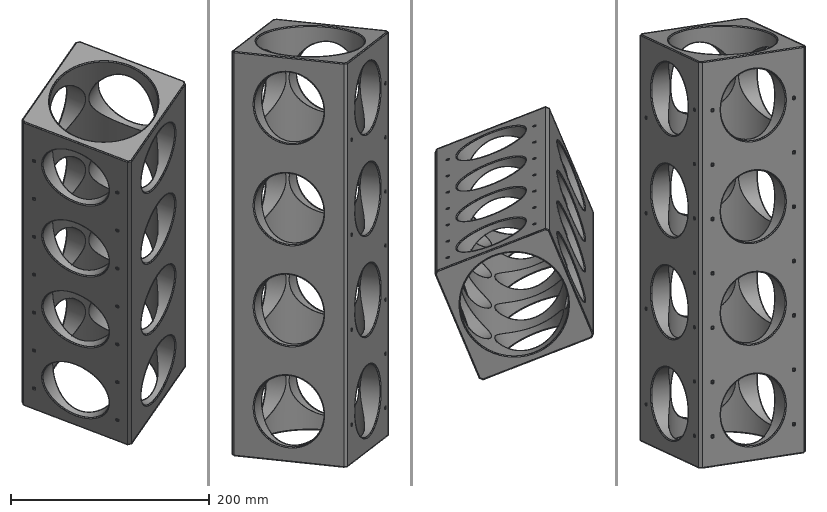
import cadquery as cq

length = 425.0
side = 124.0
corner_chamfer = 3.0
end_chamfer = 1.0

bore_dia = 109.2
window_dia = 75.0
window_count = 4
window_pitch = length / window_count
mouth_chamfer = 1.0

hole_depth = 10.0

front_hole_dia = 2.0
front_hole_chamfer = 1.0
front_hole_x = 47.0
front_row_top = 160.2
front_row_count = 7
front_row_span = 341.0
front_row_pitch = front_row_span / (front_row_count - 1)

side_hole_dia = 2.5
side_hole_chamfer = 0.5
near_row_y = -51.0
rear_row_y = front_hole_x
rear_row_top = 128.5
rear_row_count = 4
rear_row_pitch = 100.0


def body():
    """Square block with chamfered long edges and lighter chamfers around both ends."""
    block = cq.Workplane("XY").box(side, side, length)
    block = block.edges("|Z").chamfer(corner_chamfer)
    return block.faces("<Z or >Z").edges().chamfer(end_chamfer)


def through_cutter(diameter, span):
    """Cylinder along Z, centred on the origin, flaring at both ends to chamfer the hole rims."""
    radius = diameter / 2
    half = span / 2
    flared = radius + mouth_chamfer
    profile = [
        (0, -half),
        (flared, -half),
        (radius, -half + mouth_chamfer),
        (radius, half - mouth_chamfer),
        (flared, half),
        (0, half),
    ]
    return cq.Workplane("XZ").polyline(profile).close().revolve(360, (0, 0, 0), (0, 1, 0))


def row_heights(top, count, pitch):
    """Z positions of a row of holes, from the top down."""
    return [top - i * pitch for i in range(count)]


def blind_holes(plane, points, diameter, chamfer):
    """Blind holes along the normal of the given plane, each with a chamfered mouth."""
    radius = diameter / 2
    drill = cq.Solid.makeCylinder(radius, hole_depth)
    cone = cq.Solid.makeCone(radius + chamfer, radius, chamfer)
    cutter = drill.fuse(cone)
    return cq.Workplane(plane).pushPoints(points).eachpoint(cutter, useLocalCoordinates=True)


result = body().cut(through_cutter(bore_dia, length))

window_along_y = through_cutter(window_dia, side).rotate((0, 0, 0), (1, 0, 0), 90)
window_along_x = window_along_y.rotate((0, 0, 0), (0, 0, 1), 90)
top_window = (length - window_pitch) / 2
for z in row_heights(top_window, window_count, window_pitch):
    result = result.cut(window_along_y.translate((0, 0, z)))
    result = result.cut(window_along_x.translate((0, 0, z)))

front_face = cq.Plane(origin=(0, -side / 2, 0), xDir=(-1, 0, 0), normal=(0, 1, 0))
front_heights = row_heights(front_row_top, front_row_count, front_row_pitch)
front_points = [(x, z) for x in (-front_hole_x, front_hole_x) for z in front_heights]
result = result.cut(blind_holes(front_face, front_points, front_hole_dia, front_hole_chamfer))

side_face = cq.Plane(origin=(-side / 2, 0, 0), xDir=(0, 1, 0), normal=(1, 0, 0))
rear_heights = row_heights(rear_row_top, rear_row_count, rear_row_pitch)
side_points = [(near_row_y, z) for z in front_heights]
side_points += [(rear_row_y, z) for z in rear_heights]
result = result.cut(blind_holes(side_face, side_points, side_hole_dia, side_hole_chamfer))